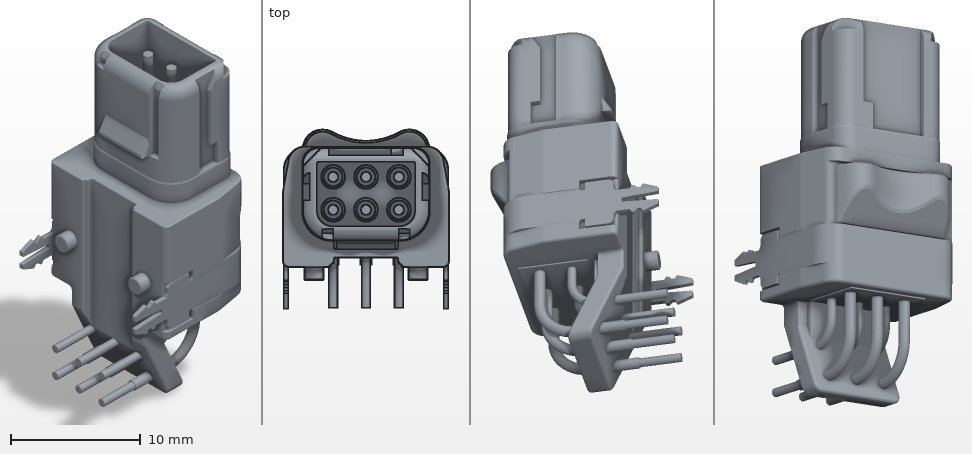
import cadquery as cq
import math


OVERLAP = 0.3
MARGIN = 0.03

BODY_HALF_WIDTH = 12.8 / 2
BODY_BOTTOM = 7.57
BODY_TOP = 18.28
BODY_BACK = 9.27
TAPER_START = 5.8
BACK_HALF_WIDTH = 5.75
BACK_CORNER_RADIUS = 1.2
FRONT_CORNER_RADIUS = 0.5
TOP_EDGE_RADIUS = 0.12

FLAP_HALF_WIDTH = 4.03
FLAP_THICKNESS = 2.02
FRONT_BEND_Z = 6.0
BACK_BEND_Z = 5.75
FLAP_TIP_FRONT = 2.7
FLAP_TIP_BACK = 4.6
FLAP_CORNER_RADIUS = 0.72
LOWER_EDGE_RADIUS = 0.23
NECK_RADIUS = 0.25
BACKING_HALF_WIDTH = 3.17
BACKING_DEPTH = 2.48
SEAL_HALF_WIDTH = 3.45
SEAL_FRONT = 2.97
SEAL_BACK = 8.4
SEAL_HEIGHT = 0.1

CHANNEL_HALF_WIDTH = 2.48
CHANNEL_DEPTH = 0.72
CHANNEL_FLOOR_RADIUS = 0.17
CHANNEL_LIP_RADIUS = 0.3

SHELL_HALF_WIDTH = 9.7 / 2
SHELL_FRONT = 2.07
SHELL_BACK = 9.15
SHELL_FRONT_RADIUS = 2.27
SHELL_BACK_RADIUS = 1.2
SHELL_TOP = 28.8
RIM_RADIUS = 1.05
RIM_TRIM = 0.03
COLLAR_OFFSET = 0.072
COLLAR_TOP = 20.12
COLLAR_CHAMFER = 0.15
COLLAR_CHAMFER_INSET = 0.063
SHELL_WALL = 1.07
CAVITY_FLOOR = BODY_TOP

SIDE_KEY_FLOOR_X = 4.35
KEY_STEP_Z = 22.17
SIDE_KEY_FRONT = 5.15
SIDE_KEY_BACK = 6.42
SIDE_KEY_LOWER_BACK = 7.17
SIDE_KEY_TOP_BACK = 7.35
SIDE_KEY_BEND_Z = 27.24
FRONT_KEY_INNER = 2.5
FRONT_KEY_OUTER = 3.37
FRONT_KEY_DEPTH = 0.55
FRONT_KEY_WALL_TOP = 28.3
FRONT_KEY_SLOPE = 0.32
FRONT_NOTCH_FLOOR = 27.75
BACK_KEY_HALF_WIDTH = 2.85
BACK_KEY_STEP_X = 1.93
BACK_KEY_DEPTH = 0.55
CORNER_BEVEL = 1.38

LATCH_HALF_WIDTH = 2.48
LATCH_TOP = 23.67
LATCH_REACH = 0.72
LATCH_TIP = 0.25
LATCH_CHAMFER = 0.23

PITCH = 2.53
CONTACT_COLUMNS = (-PITCH, 0, PITCH)
FRONT_ROW_Y = 4.4
BACK_ROW_Y = FRONT_ROW_Y + PITCH
CONTACT_DIAMETER = 0.78
CONTACT_TOP = 26.83
BOSS_BASE_DIAMETER = 1.85
BOSS_TOP_DIAMETER = 1.45
BOSS_HEIGHT = 0.58
LOWER_TAIL_Z = 1.5
UPPER_TAIL_Z = LOWER_TAIL_Z + PITCH
TAIL_END = -3.15
THIN_WIRE_DIAMETER = 0.7
THICK_WIRE_DIAMETER = 0.85
THICK_WIRE_END = 0.17
UPPER_BEND_RADIUS = 2.02
LOWER_BEND_RADIUS = 2.95

WING_NOTCH_FRONT = 8.6
WING_NOTCH_TOP = 17.15
WING_TOP = 16.95
WING_STRAIGHT_BOTTOM = 15.05
WING_BOTTOM = 12.38
WING_BOTTOM_BACK = 8.9
WING_LOBE_X = 3.35
WING_LOBE_Y = 9.07
WING_LOBE_RADIUS = 1.53
WING_SIDE_BACK = 9.6
WING_SADDLE_X = 2.65
WING_SADDLE_Y = 9.73
WING_EDGE_CHAMFER = 0.17
WING_SLOPE_CHAMFER = 0.15

STRAP_Z = 10.65
STRAP_HALF_HEIGHT = 3.08 / 2
STRAP_OUTER_X = BODY_HALF_WIDTH - 0.05
STRAP_THICKNESS = 0.37
STRAP_BACK = 9.25
STRAP_CORNER_RADIUS = 1.8
POCKET_BACK = 3.0
POCKET_HALF_HEIGHT = 2.3
RELIEF_DEPTH = 0.17
ARM_ROOT = 6.9
TAB_FRONT = 0.3
TAB_BACK = 2.53
TAB_HALF_HEIGHT = 4.17 / 2
TAB_CHAMFER = 0.3
TAIL_HALF_HEIGHT = 2.0 / 2
TAIL_BACK = 0.12
BUMP_BACK = -1.0
BUMP_TOP_BACK = -1.15
BUMP_TOP_FRONT = -1.32
BUMP_FRONT = -1.6
BUMP_HALF_HEIGHT = 1.27
BARB_BACK = -1.85
BARB_TOP_Y = -2.02
BARB_HALF_HEIGHT = 1.3
STRAP_TIP_Y = -3.22
STRAP_TIP_HALF_HEIGHT = 0.8
STRAP_TIP_GAP = 0.37
SLOT_HALF_HEIGHT = 0.187
SLOT_BOTTOM_Y = -0.35

PEG_X = 4.0
PEG_Z = 12.12
PEG_DIAMETER = 1.5
PEG_LENGTH = 1.05
PEG_CHAMFER = 0.1


def block(x_range, y_range, z_range):
    """Box between the given limits."""
    size = [high - low for low, high in (x_range, y_range, z_range)]
    return cq.Workplane("XY").box(*size, centered=False).translate((x_range[0], y_range[0], z_range[0]))


def side_prism(points, x_start, x_end):
    """Outline of (y, z) points stretched along X."""
    return cq.Workplane("YZ", origin=(x_start, 0, 0)).polyline(points).close().extrude(x_end - x_start)


def mirrored(solid):
    """The solid together with its mirror image across X = 0."""
    return solid.union(solid.mirror("YZ"))


def edges_within(solid, x_range, y_range, z_range):
    """Edges whose centres lie between the given limits."""
    return solid.edges(cq.selectors.BoxSelector(*zip(x_range, y_range, z_range)))


def face_near(solid, y, z):
    """Face closest to a point on the middle plane."""
    return solid.faces(cq.selectors.NearestToPointSelector((0, y, z)))


def make_body():
    outline = [
        (-BODY_HALF_WIDTH, 0),
        (BODY_HALF_WIDTH, 0),
        (BODY_HALF_WIDTH, TAPER_START),
        (BACK_HALF_WIDTH, BODY_BACK),
        (-BACK_HALF_WIDTH, BODY_BACK),
        (-BODY_HALF_WIDTH, TAPER_START),
    ]
    body = (
        cq.Workplane("XY", origin=(0, 0, BODY_BOTTOM))
        .polyline(outline)
        .close()
        .extrude(BODY_TOP - BODY_BOTTOM)
    )
    body = body.edges("|Z and <Y").fillet(FRONT_CORNER_RADIUS)
    return body.edges("|Z and >Y").fillet(BACK_CORNER_RADIUS)


def make_flap():
    outline = [
        (0, BODY_BOTTOM),
        (0, FRONT_BEND_Z),
        (FLAP_TIP_FRONT, 0),
        (FLAP_TIP_BACK, 0),
        (FLAP_THICKNESS, BACK_BEND_Z),
        (FLAP_THICKNESS, BODY_BOTTOM),
    ]
    flap = side_prism(outline, -FLAP_HALF_WIDTH, FLAP_HALF_WIDTH)
    return flap.edges("|Y and <Z").fillet(FLAP_CORNER_RADIUS)


def make_rounded_housing():
    """Body and flap as one piece with their lower edges rounded."""
    housing = make_body().union(make_flap())
    full_width = (-BODY_HALF_WIDTH - MARGIN, BODY_HALF_WIDTH + MARGIN)
    flap_width = (-FLAP_HALF_WIDTH - MARGIN, FLAP_HALF_WIDTH + MARGIN)
    bottom_level = (BODY_BOTTOM - MARGIN, BODY_BOTTOM + MARGIN)

    neck = edges_within(housing, flap_width, (0, FLAP_THICKNESS), bottom_level)
    housing = neck.edges("|Y").fillet(NECK_RADIUS)

    front_edges = edges_within(
        housing, full_width, (-MARGIN, MARGIN), (FRONT_BEND_Z + MARGIN, BODY_BOTTOM + MARGIN)
    )
    slope_edges = face_near(housing, FLAP_TIP_FRONT / 2, FRONT_BEND_Z / 2).edges("not |X")
    ring_edges = edges_within(
        housing, full_width, (FLAP_THICKNESS + OVERLAP, BODY_BACK + MARGIN), bottom_level
    )
    housing = front_edges.add(slope_edges).add(ring_edges).fillet(LOWER_EDGE_RADIUS)

    back_middle = (FLAP_THICKNESS + FLAP_TIP_BACK) / 2
    return face_near(housing, back_middle, BACK_BEND_Z / 2).edges("not |X").fillet(LOWER_EDGE_RADIUS)


def make_backing():
    """Thicker wall behind the channel."""
    lean = (FLAP_TIP_BACK - FLAP_THICKNESS) / BACK_BEND_Z
    outline = [
        (CHANNEL_DEPTH, BODY_BOTTOM),
        (BACKING_DEPTH, BODY_BOTTOM),
        (BACKING_DEPTH, BACK_BEND_Z - (BACKING_DEPTH - FLAP_THICKNESS) / lean),
        (CHANNEL_DEPTH, FRONT_BEND_Z),
    ]
    return side_prism(outline, -BACKING_HALF_WIDTH, BACKING_HALF_WIDTH)


def make_seal():
    """Thin plate around the wire exits."""
    return block(
        (-SEAL_HALF_WIDTH, SEAL_HALF_WIDTH),
        (SEAL_FRONT, SEAL_BACK),
        (BODY_BOTTOM - SEAL_HEIGHT, BODY_BOTTOM),
    )


def make_channel():
    """Cutter for the channel, with rounded floor corners and flared lips."""
    floor_x = CHANNEL_HALF_WIDTH - CHANNEL_FLOOR_RADIUS
    lip_x = CHANNEL_HALF_WIDTH + CHANNEL_LIP_RADIUS
    half = (
        cq.Workplane("XY")
        .lineTo(lip_x, 0)
        .radiusArc((CHANNEL_HALF_WIDTH, CHANNEL_LIP_RADIUS), -CHANNEL_LIP_RADIUS)
        .lineTo(CHANNEL_HALF_WIDTH, CHANNEL_DEPTH - CHANNEL_FLOOR_RADIUS)
        .radiusArc((floor_x, CHANNEL_DEPTH), -CHANNEL_FLOOR_RADIUS)
        .lineTo(0, CHANNEL_DEPTH)
        .close()
        .extrude(BODY_TOP)
    )
    return mirrored(half)


def shell_prism(offset, bottom, top):
    """Shell cross-section grown by the offset and stretched from bottom to top."""
    half_width = SHELL_HALF_WIDTH + offset
    prism = block((-half_width, half_width), (SHELL_FRONT - offset, SHELL_BACK + offset), (bottom, top))
    prism = prism.edges("|Z and <Y").fillet(SHELL_FRONT_RADIUS + offset)
    return prism.edges("|Z and >Y").fillet(SHELL_BACK_RADIUS + offset)


def make_shell():
    shell = shell_prism(0, BODY_TOP, SHELL_TOP + RIM_TRIM)
    shell = shell.faces(">Z").edges().fillet(RIM_RADIUS)
    collar = shell_prism(COLLAR_OFFSET, BODY_TOP - TOP_EDGE_RADIUS, COLLAR_TOP)
    collar = collar.faces(">Z").edges().chamfer(COLLAR_CHAMFER, COLLAR_CHAMFER_INSET)
    cavity = shell_prism(-SHELL_WALL, CAVITY_FLOOR, SHELL_TOP + OVERLAP)

    side_key = side_prism(
        [
            (SIDE_KEY_FRONT, COLLAR_TOP),
            (SIDE_KEY_LOWER_BACK, COLLAR_TOP),
            (SIDE_KEY_LOWER_BACK, KEY_STEP_Z),
            (SIDE_KEY_BACK, KEY_STEP_Z),
            (SIDE_KEY_BACK, SIDE_KEY_BEND_Z),
            (SIDE_KEY_TOP_BACK, SHELL_TOP),
            (SIDE_KEY_FRONT, SHELL_TOP),
        ],
        SIDE_KEY_FLOOR_X,
        BODY_HALF_WIDTH,
    )

    def front_key(floor, x_start, x_end):
        wall = SHELL_FRONT + FRONT_KEY_DEPTH
        outline = [
            (0, floor),
            (wall, floor),
            (wall, FRONT_KEY_WALL_TOP),
            (wall + FRONT_KEY_SLOPE, SHELL_TOP),
            (0, SHELL_TOP),
        ]
        return side_prism(outline, x_start, x_end)

    back_y = (SHELL_BACK - BACK_KEY_DEPTH, BODY_BACK)
    back_key = block((-BACK_KEY_HALF_WIDTH, BACK_KEY_STEP_X), back_y, (COLLAR_TOP, SHELL_TOP))
    back_key = back_key.union(
        block((BACK_KEY_STEP_X, BACK_KEY_HALF_WIDTH), back_y, (KEY_STEP_Z, SHELL_TOP))
    )
    corner_bevel = (
        cq.Workplane("XY", origin=(0, 0, FRONT_NOTCH_FLOOR))
        .polyline(
            [
                (SHELL_HALF_WIDTH, SHELL_BACK),
                (SHELL_HALF_WIDTH - CORNER_BEVEL, SHELL_BACK),
                (SHELL_HALF_WIDTH, SHELL_BACK - CORNER_BEVEL),
            ]
        )
        .close()
        .extrude(SHELL_TOP - FRONT_NOTCH_FLOOR)
    )
    trim = block((-BODY_HALF_WIDTH, BODY_HALF_WIDTH), (0, BODY_BACK), (SHELL_TOP, SHELL_TOP + OVERLAP))
    return (
        shell.cut(trim)
        .cut(mirrored(side_key))
        .cut(front_key(KEY_STEP_Z, FRONT_KEY_INNER, FRONT_KEY_OUTER))
        .cut(front_key(FRONT_NOTCH_FLOOR, -FRONT_KEY_OUTER, -FRONT_KEY_INNER))
        .cut(back_key)
        .cut(mirrored(corner_bevel))
        .union(collar)
        .cut(cavity)
    )


def make_latch():
    tip = SHELL_FRONT - LATCH_REACH
    root = SHELL_FRONT + OVERLAP
    outline = [
        (root, KEY_STEP_Z),
        (tip, KEY_STEP_Z),
        (tip, KEY_STEP_Z + LATCH_TIP),
        (SHELL_FRONT, LATCH_TOP),
        (root, LATCH_TOP),
    ]
    latch = side_prism(outline, -LATCH_HALF_WIDTH, LATCH_HALF_WIDTH)
    sides = latch.faces("<X or >X")
    slope_edges = edges_within(
        sides,
        (-BODY_HALF_WIDTH, BODY_HALF_WIDTH),
        (tip - MARGIN, SHELL_FRONT),
        (KEY_STEP_Z + LATCH_TIP, LATCH_TOP),
    )
    return slope_edges.chamfer(LATCH_CHAMFER)


def make_wire(x, row_y, tail_z, diameter, bend_radius):
    """Wire leaving the body downwards and bending forwards into a tail."""
    path = (
        cq.Workplane("YZ", origin=(x, 0, 0))
        .moveTo(row_y, BODY_BOTTOM + OVERLAP)
        .lineTo(row_y, tail_z + bend_radius)
        .radiusArc((row_y - bend_radius, tail_z), bend_radius)
        .lineTo(THICK_WIRE_END, tail_z)
    )
    wire = cq.Workplane("XY", origin=(x, row_y, BODY_BOTTOM + OVERLAP)).circle(diameter / 2).sweep(path)
    tail = (
        cq.Workplane("XZ", origin=(x, THICK_WIRE_END, tail_z))
        .circle(THIN_WIRE_DIAMETER / 2)
        .extrude(THICK_WIRE_END - TAIL_END)
    )
    return wire.union(tail)


def make_contact(x, y):
    """Plug contact standing on a tapered boss on the cavity floor."""
    boss = (
        cq.Workplane("XY", origin=(x, y, CAVITY_FLOOR))
        .circle(BOSS_BASE_DIAMETER / 2)
        .workplane(offset=BOSS_HEIGHT)
        .circle(BOSS_TOP_DIAMETER / 2)
        .loft()
    )
    pin = (
        cq.Workplane("XY", origin=(x, y, CAVITY_FLOOR))
        .circle(CONTACT_DIAMETER / 2)
        .extrude(CONTACT_TOP - CAVITY_FLOOR)
    )
    return boss.union(pin)


def make_wing():
    lobe_back = WING_LOBE_Y + WING_LOBE_RADIUS
    inner_angle = math.acos((WING_LOBE_X - WING_SADDLE_X) / WING_LOBE_RADIUS)
    saddle_end_y = WING_LOBE_Y + WING_LOBE_RADIUS * math.sin(inner_angle)
    root = WING_NOTCH_FRONT - OVERLAP
    side_rise = WING_SIDE_BACK - WING_LOBE_Y
    side_offset = math.sqrt(WING_LOBE_RADIUS**2 - side_rise**2)
    side_x = WING_LOBE_X + side_offset
    root_x = side_x + (WING_SIDE_BACK - root) * side_rise / side_offset
    plan = (
        cq.Workplane("XY", origin=(0, 0, WING_BOTTOM))
        .moveTo(-root_x, root)
        .lineTo(-side_x, WING_SIDE_BACK)
        .threePointArc((-WING_LOBE_X, lobe_back), (-WING_SADDLE_X, saddle_end_y))
        .threePointArc((0, WING_SADDLE_Y), (WING_SADDLE_X, saddle_end_y))
        .threePointArc((WING_LOBE_X, lobe_back), (side_x, WING_SIDE_BACK))
        .lineTo(root_x, root)
        .close()
        .extrude(WING_TOP - WING_BOTTOM)
    )
    plan = plan.faces(">Z").edges("not(<Y)").chamfer(WING_EDGE_CHAMFER)
    ramp = side_prism(
        [
            (root, WING_BOTTOM),
            (WING_BOTTOM_BACK, WING_BOTTOM),
            (lobe_back, WING_STRAIGHT_BOTTOM),
            (lobe_back, WING_TOP),
            (root, WING_TOP),
        ],
        -root_x,
        root_x,
    )
    wing = plan.intersect(ramp)
    slope_y = (WING_BOTTOM_BACK + lobe_back) / 2
    slope_z = (WING_BOTTOM + WING_STRAIGHT_BOTTOM) / 2
    return face_near(wing, slope_y, slope_z).edges("not |X").chamfer(WING_SLOPE_CHAMFER)


def make_strap_band():
    """Band wrapped around the back of the body."""
    band = block(
        (-STRAP_OUTER_X, STRAP_OUTER_X),
        (TAPER_START, STRAP_BACK),
        (STRAP_Z - STRAP_HALF_HEIGHT, STRAP_Z + STRAP_HALF_HEIGHT),
    )
    return band.edges("|Z and >Y").fillet(STRAP_CORNER_RADIUS)


def strap_arm_outline():
    """Upper half of the arm and its split tail, as (y, height above centre) points."""
    return [
        (ARM_ROOT, STRAP_HALF_HEIGHT),
        (POCKET_BACK, STRAP_HALF_HEIGHT),
        (POCKET_BACK - RELIEF_DEPTH, STRAP_HALF_HEIGHT - RELIEF_DEPTH),
        (TAB_BACK, STRAP_HALF_HEIGHT - RELIEF_DEPTH),
        (TAB_BACK, TAB_HALF_HEIGHT),
        (TAB_FRONT + TAB_CHAMFER, TAB_HALF_HEIGHT),
        (TAB_FRONT, TAB_HALF_HEIGHT - TAB_CHAMFER),
        (TAB_FRONT, TAIL_HALF_HEIGHT + TAB_CHAMFER),
        (TAIL_BACK, TAIL_HALF_HEIGHT),
        (BUMP_BACK, TAIL_HALF_HEIGHT),
        (BUMP_TOP_BACK, BUMP_HALF_HEIGHT),
        (BUMP_TOP_FRONT, BUMP_HALF_HEIGHT),
        (BUMP_FRONT, TAIL_HALF_HEIGHT),
        (BARB_BACK, TAIL_HALF_HEIGHT),
        (BARB_TOP_Y, BARB_HALF_HEIGHT),
        (STRAP_TIP_Y, STRAP_TIP_HALF_HEIGHT),
        (STRAP_TIP_Y, STRAP_TIP_GAP),
        (SLOT_BOTTOM_Y, SLOT_HALF_HEIGHT),
        (SLOT_BOTTOM_Y, 0),
        (ARM_ROOT, 0),
    ]


def make_strap_arm():
    """Flat arm on the right side."""
    inner_x = STRAP_OUTER_X - STRAP_THICKNESS
    upper = side_prism([(y, STRAP_Z + h) for y, h in strap_arm_outline()], inner_x, STRAP_OUTER_X)
    lower = side_prism([(y, STRAP_Z - h) for y, h in strap_arm_outline()], inner_x, STRAP_OUTER_X)
    return upper.union(lower)


def make_strap_recess():
    """Cutter for the pocket and channel that hold the right arm."""
    x_range = (STRAP_OUTER_X - STRAP_THICKNESS, BODY_HALF_WIDTH + OVERLAP)
    pocket = block(
        x_range,
        (-OVERLAP, POCKET_BACK),
        (STRAP_Z - POCKET_HALF_HEIGHT, STRAP_Z + POCKET_HALF_HEIGHT),
    )
    return pocket.union(
        block(x_range, (0, ARM_ROOT), (STRAP_Z - STRAP_HALF_HEIGHT, STRAP_Z + STRAP_HALF_HEIGHT))
    )


def make_peg():
    peg = (
        cq.Workplane("XZ", origin=(PEG_X, OVERLAP, PEG_Z))
        .circle(PEG_DIAMETER / 2)
        .extrude(PEG_LENGTH + OVERLAP)
    )
    return peg.faces("<Y").chamfer(PEG_CHAMFER)


housing = make_rounded_housing().union(make_backing()).union(make_seal())
housing = housing.cut(make_channel())
housing = housing.faces(">Z").edges().fillet(TOP_EDGE_RADIUS)
housing = housing.cut(
    block(
        (-BODY_HALF_WIDTH, BODY_HALF_WIDTH),
        (WING_NOTCH_FRONT, BODY_BACK),
        (STRAP_Z + STRAP_HALF_HEIGHT, WING_NOTCH_TOP),
    )
)
housing = housing.union(make_wing())
housing = housing.cut(mirrored(make_strap_recess()))
housing = housing.union(make_strap_band())
housing = housing.union(mirrored(make_strap_arm()))
housing = housing.union(mirrored(make_peg()))

result = housing.union(make_shell()).union(make_latch())
for column_x in CONTACT_COLUMNS:
    result = result.union(make_contact(column_x, FRONT_ROW_Y))
    result = result.union(make_contact(column_x, BACK_ROW_Y))
    result = result.union(
        make_wire(column_x, FRONT_ROW_Y, UPPER_TAIL_Z, THIN_WIRE_DIAMETER, UPPER_BEND_RADIUS)
    )
    result = result.union(
        make_wire(column_x, BACK_ROW_Y, LOWER_TAIL_Z, THICK_WIRE_DIAMETER, LOWER_BEND_RADIUS)
    )